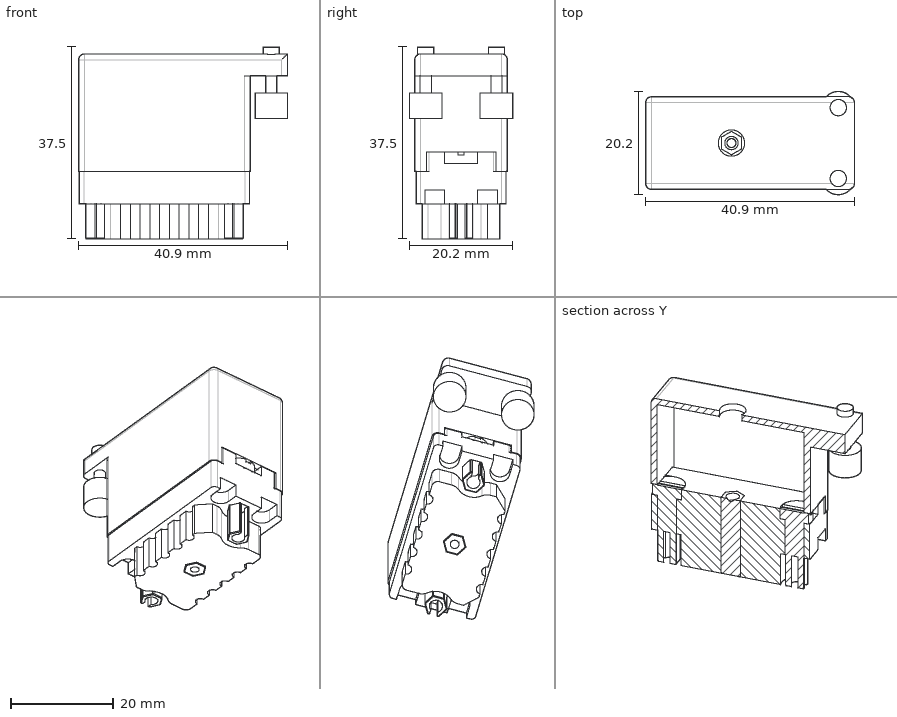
import cadquery as cq
import math


total_length = 40.85
hood_length = 33.6
hood_width = 18.15
hood_bottom = 13.25
hood_top = 36.2
ear_bottom = 31.88
hood_radius = 1.2
hood_wall = 1.4
access_hole_diameter = 5.15
mid_x = hood_length / 2

base_length = 33.35
base_width = 17.57
base_radius = 0.9
skirt_bottom = 6.85
tongue_width = 13.55
tongue_top = 17.0
tongue_radius = 0.5

plug_length = 23.55
plug_width = 15.2
plug_radius = 1.2
plug_chamfer = 2.45
groove_count = 5
groove_pitch = 3.8
groove_radius = 1.0

recess_mouth = 7.9
recess_lip_radius = 2.45
recess_lip_angle = 40

corner_slot_width = 3.9
corner_slot_offset = 5.15
corner_slot_straight = 2.3
corner_slot_top = 9.55

hex_across_flats = 3.95
hex_across_corners = hex_across_flats / math.cos(math.radians(30))
hex_tip_chamfer = 0.15
post_offset = 13.45
post_turned_diameter = 4.45
post_head_bottom = 14.75
post_head_radius = base_length / 2 - post_offset
driver_slot_width = 1.15
driver_slot_depth = 0.55
post_bore_radius = 1.25
post_slot_width = 1.47
jack_bore_radius = 0.85
jack_mouth_radius = 1.3
jack_mouth_depth = 1.23

screw_top = 37.5
screw_head_diameter = 3.2
screw_stem_diameter = 2.2
knob_diameter = 6.38
knob_top = 28.55
knob_bottom = 23.55
knob_span = 20.25
screw_x = total_length - knob_diameter / 2
screw_y = (knob_span - knob_diameter) / 2

base_end = mid_x - base_length / 2
plug_end = mid_x - plug_length / 2
post_x = mid_x - post_offset


def block(x_min, x_max, width, z_min, z_max):
    """Box centred on Y = 0."""
    return cq.Workplane("XY").box(x_max - x_min, width, z_max - z_min, centered=(False, True, False)).translate(
        (x_min, 0, z_min)
    )


def centred_block(length, width, z_min, z_max):
    """Box centred on the middle of the base."""
    return block(mid_x - length / 2, mid_x + length / 2, width, z_min, z_max)


def cylinder(x, y, radius, z_min, z_max):
    return cq.Workplane("XY").workplane(offset=z_min).center(x, y).circle(radius).extrude(z_max - z_min)


def hexagon(x, height):
    """Hexagonal prism standing on Z = 0 on the centre plane, with corners pointing along Y."""
    prism = cq.Workplane("XY").polygon(6, hex_across_corners).extrude(height)
    return prism.rotate((0, 0, 0), (0, 0, 1), 90).translate((x, 0, 0))


def post_shank():
    """Hexagonal shank of a guide post with its six corners turned down."""
    return hexagon(post_x, post_head_bottom).intersect(
        cylinder(post_x, 0, post_turned_diameter / 2, 0, post_head_bottom)
    )


def at_end(shape, side):
    """Place a shape made for the -X end of the base at the end given by side (-1 or 1)."""
    if side < 0:
        return shape
    return shape.mirror("YZ", (mid_x, 0, 0))


def make_hood():
    main = block(0, hood_length, hood_width, hood_bottom, hood_top - hood_radius).edges("|Z").fillet(hood_radius)

    cover = block(0, total_length + hood_radius, hood_width, ear_bottom, hood_top)
    cover = cover.edges("(|Z and <X) or (>Z and (not >X))").fillet(hood_radius)
    ear_outline = block(0, total_length, hood_width, ear_bottom, hood_top).edges("|Z and >X").fillet(hood_radius)
    hood = main.union(cover.intersect(ear_outline))

    cavity = block(
        hood_wall, hood_length - hood_wall, hood_width - 2 * hood_wall, hood_bottom, hood_top - hood_wall
    )
    hood = hood.cut(cavity)
    hood = hood.cut(cylinder(mid_x, 0, access_hole_diameter / 2, hood_top - hood_wall, hood_top))
    hood = hood.cut(block(0, hood_length, tongue_width, hood_bottom, tongue_top))
    for y in (-screw_y, screw_y):
        hood = hood.cut(cylinder(screw_x, y, screw_stem_diameter / 2, ear_bottom, hood_top))
        hood = hood.cut(cylinder(screw_x, y, screw_head_diameter / 2, hood_top - hood_radius, hood_top))
    return hood


def make_plug():
    plug = centred_block(plug_length, plug_width, 0, skirt_bottom)
    plug = plug.edges("|Z and <Y").fillet(plug_radius)
    plug = plug.edges("|Z and >Y").chamfer(plug_chamfer)

    for index in range(groove_count):
        groove_x = mid_x + (index - (groove_count - 1) / 2) * groove_pitch
        for y in (-plug_width / 2, plug_width / 2):
            plug = plug.cut(cylinder(groove_x, y, groove_radius, 0, skirt_bottom))
    for side in (-1, 1):
        plug = plug.cut(at_end(plug_recess(), side))
    return plug


def plug_recess():
    """Flared recess that clears a guide post: two convex lips run smoothly into a hollow back wall."""
    mouth = recess_mouth / 2

    def lip_point(degrees):
        angle = math.radians(degrees)
        depth = recess_lip_radius * (1 - math.cos(angle))
        return plug_end + depth, mouth - recess_lip_radius * math.sin(angle)

    mid_lip_x, mid_lip_y = lip_point(recess_lip_angle / 2)
    wall_x, wall_y = lip_point(recess_lip_angle)
    wall_depth = wall_y * math.tan(math.radians(recess_lip_angle / 2))
    return (
        cq.Workplane("XY")
        .moveTo(plug_end, mouth)
        .threePointArc((mid_lip_x, mid_lip_y), (wall_x, wall_y))
        .threePointArc((wall_x + wall_depth, 0), (wall_x, -wall_y))
        .threePointArc((mid_lip_x, -mid_lip_y), (plug_end, -mouth))
        .close()
        .extrude(skirt_bottom)
    )


def corner_slot(y):
    """Round-ended slot open at the end and the underside of the skirt."""
    slot_end = base_end + corner_slot_straight
    straight = block(base_end, slot_end, corner_slot_width, skirt_bottom, corner_slot_top).translate((0, y, 0))
    return straight.union(cylinder(slot_end, y, corner_slot_width / 2, skirt_bottom, corner_slot_top))


def post_seat():
    """Pocket for a guide post's head, open at the end face, and the hexagonal hole below it."""
    pocket = block(base_end, post_x, 2 * post_head_radius, post_head_bottom, tongue_top)
    pocket = pocket.union(cylinder(post_x, 0, post_head_radius, post_head_bottom, tongue_top))
    return pocket.union(post_shank())


def make_base():
    skirt = centred_block(base_length, base_width, skirt_bottom, hood_bottom).edges("|Z").fillet(base_radius)
    tongue = centred_block(base_length, tongue_width, hood_bottom, tongue_top).edges("|Z").fillet(tongue_radius)
    base = skirt.union(tongue)
    for side in (-1, 1):
        for y in (-corner_slot_offset, corner_slot_offset):
            base = base.cut(at_end(corner_slot(y), side))

    base = base.union(make_plug())
    for side in (-1, 1):
        base = base.cut(at_end(post_seat(), side))
    return base.cut(hexagon(mid_x, tongue_top))


def make_guide_post(side):
    """Hexagonal socket with a slotted round head; its bore opens outwards through a slot."""
    post = post_shank().faces("<Z").chamfer(hex_tip_chamfer)
    post = post.union(cylinder(post_x, 0, post_head_radius, post_head_bottom, tongue_top))
    driver_slot = block(
        post_x - post_head_radius, post_x + post_head_radius, driver_slot_width,
        tongue_top - driver_slot_depth, tongue_top,
    )
    post = post.cut(driver_slot)
    post = post.cut(cylinder(post_x, 0, post_bore_radius, 0, skirt_bottom))
    post = post.cut(block(post_x - hex_across_flats / 2, post_x, post_slot_width, 0, skirt_bottom))
    return at_end(post, side)


def make_jack():
    """Hexagonal sleeve through the base with a bore that flares steeply at the top."""
    jack = hexagon(mid_x, tongue_top).faces("<Z").chamfer(hex_tip_chamfer)
    jack = jack.cut(cylinder(mid_x, 0, jack_bore_radius, 0, tongue_top))
    mouth_bottom = cq.Vector(mid_x, 0, tongue_top - jack_mouth_depth)
    mouth = cq.Solid.makeCone(jack_bore_radius, jack_mouth_radius, jack_mouth_depth, mouth_bottom)
    return jack.cut(cq.Workplane(mouth))


def make_screw(y):
    """Flat head, stem through the ear, and a round knob below."""
    head = cylinder(screw_x, y, screw_head_diameter / 2, hood_top - hood_radius, screw_top)
    stem = cylinder(screw_x, y, screw_stem_diameter / 2, knob_top, hood_top)
    knob = cylinder(screw_x, y, knob_diameter / 2, knob_bottom, knob_top)
    return head.union(stem).union(knob)


hood = make_hood()
base = make_base()
jack = make_jack()
guide_posts = [make_guide_post(side) for side in (-1, 1)]
screws = [make_screw(y) for y in (-screw_y, screw_y)]

result = cq.Compound.makeCompound(
    [hood.val(), base.val(), jack.val()]
    + [post.val() for post in guide_posts]
    + [screw.val() for screw in screws]
)